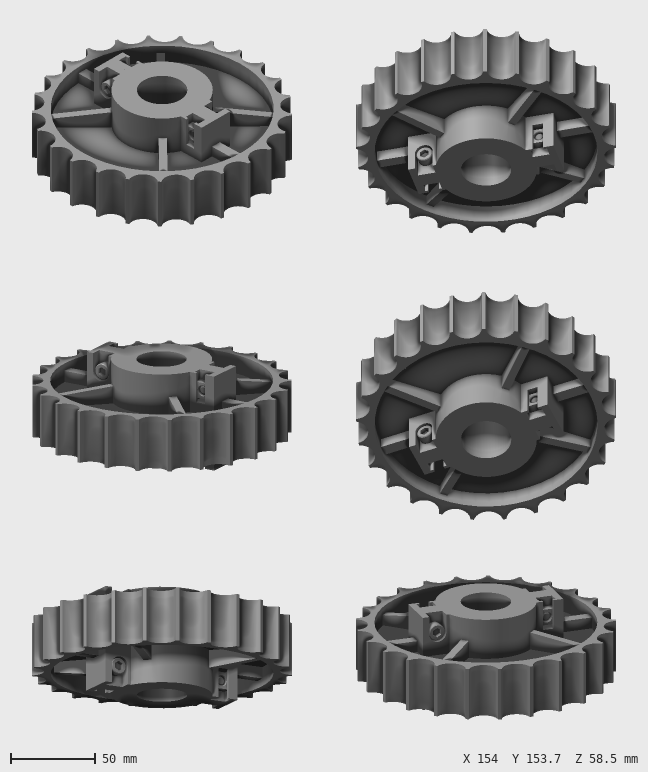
import cadquery as cq
import math


overall_width = 154.0
tooth_count = 25
tooth_pitch_angle = 360 / tooth_count
tip_half_angle = 0.8
widest_corner_angle = math.radians(tooth_pitch_angle / 4 - tip_half_angle)
tip_radius = overall_width / 2 / math.cos(widest_corner_angle)
roller_radius = 9.0
root_radius = 70.0
rim_inner_radius = 66.0
rim_height = 32.0

web_thickness = 9.0
rib_outer_height = 21.9
rib_hub_height = 30.5
diagonal_rib_width = 5.0
split_rib_width = 6.6
split_rib_height = 22.8
rib_embed = 1.5

hub_height = 58.5
hub_radius = 30.0
bore_radius = 15.0
lug_span = 89.0
lug_thickness = 24.2

screw_x = 35.0
screw_z = 18.2
shank_radius = 3.0
tip_face_radius = 2.0
head_radius = 5.0
head_length = 5.7
head_chamfer = 0.5
socket_flats = 5.1
socket_depth = 3.0
head_seat_y = 5.2
shank_end_y = 9.0

nut_width = 9.9
nut_thickness = 5.2
nut_inner_y = 4.6
nut_outer_y = nut_inner_y + nut_thickness
nut_countersink = 0.5

head_slot_width = 10.8
nut_slot_width = 10.3
nut_slot_depth = 5.7
nut_slot_floor_z = 11.2
nut_window_width = 6.5



def turned_about_z(shape, angle):
    return shape.rotate((0, 0, 0), (0, 0, 1), angle)


def at_each_fastener(upper_shape):
    """Copies of a shape made for the upper level at -X: both levels, and turned to +X."""
    both_levels = (upper_shape, upper_shape.mirror("XY"))
    return [turned_about_z(shape, angle) for shape in both_levels for angle in (0, 180)]


def y_cylinder(radius, y_start, y_end):
    """Cylinder along the axis of the upper screw at -X."""
    return (
        cq.Workplane("XZ", origin=(-screw_x, y_start, screw_z))
        .circle(radius)
        .extrude(y_start - y_end)
    )


def centred_disc(radius, height):
    return cq.Workplane("XY").circle(radius).extrude(height / 2, both=True)


def block(x_range, y_range, z_range):
    ranges = (x_range, y_range, z_range)
    size = [high - low for low, high in ranges]
    corner = tuple(low for low, high in ranges)
    return cq.Workplane("XY").box(*size, centered=False).translate(corner)


def slot_above(floor_z, width, y_start, y_end):
    """Slot at the -X screws, from the given floor up to the top of the hub."""
    x_range = (-screw_x - width / 2, -screw_x + width / 2)
    return block(x_range, (y_start, y_end), (floor_z, hub_height / 2))



def toothed_rim():
    gaps = (
        cq.Workplane("XY")
        .polarArray(root_radius + roller_radius, 90, 360, tooth_count)
        .circle(roller_radius)
        .extrude(rim_height / 2, both=True)
    )
    inside = centred_disc(rim_inner_radius, rim_height)
    return centred_disc(tip_radius, rim_height).cut(gaps).cut(inside)


def diagonal_ribs():
    """Four ribs that taper from the hub out to the rim, on both faces of the web."""
    upper_edge = [
        (hub_radius - rib_embed, rib_hub_height / 2),
        (hub_radius, rib_hub_height / 2),
        (rim_inner_radius, rib_outer_height / 2),
        (rim_inner_radius + rib_embed, rib_outer_height / 2),
    ]
    lower_edge = [(radius, -z) for radius, z in reversed(upper_edge)]
    rib = (
        cq.Workplane("XZ")
        .polyline(upper_edge + lower_edge)
        .close()
        .extrude(diagonal_rib_width / 2, both=True)
    )
    ribs = turned_about_z(rib, 45)
    for angle in (135, 225, 315):
        ribs = ribs.union(turned_about_z(rib, angle))
    return ribs


def split_ribs():
    """Level ribs along the split plane, from each lug to the rim."""
    length = 2 * (rim_inner_radius + rib_embed)
    return cq.Workplane("XY").box(length, split_rib_width, split_rib_height)


def hub_with_lugs():
    lugs = cq.Workplane("XY").box(lug_span, lug_thickness, hub_height)
    return centred_disc(hub_radius, hub_height).union(lugs)


def head_slot():
    """Round-bottomed slot for the upper screw head at -X, open to the top and to -Y."""
    round_floor = y_cylinder(head_slot_width / 2, -lug_thickness / 2, -head_seat_y)
    opening = slot_above(screw_z, head_slot_width, -lug_thickness / 2, -head_seat_y)
    return round_floor.union(opening)


def nut_slot():
    """T-shaped slot for the upper nut at -X, open to the top, with a narrower window to +Y."""
    pocket = slot_above(nut_slot_floor_z, nut_slot_width, nut_inner_y, nut_inner_y + nut_slot_depth)
    window = slot_above(nut_slot_floor_z, nut_window_width, nut_inner_y, lug_thickness / 2)
    return pocket.union(window)


def fastener_cutout():
    screw_hole = y_cylinder(shank_radius, -head_seat_y, nut_inner_y)
    return head_slot().union(nut_slot()).union(screw_hole)


def whole_sprocket():
    sprocket = (
        toothed_rim()
        .union(centred_disc(rim_inner_radius + rib_embed, web_thickness))
        .union(diagonal_ribs())
        .union(split_ribs())
        .union(hub_with_lugs())
        .cut(centred_disc(bore_radius, hub_height))
    )
    for cutout in at_each_fastener(fastener_cutout()):
        sprocket = sprocket.cut(cutout)
    return sprocket


def sprocket_half(sprocket, side):
    """The part of the sprocket on the +Y (side = 1) or -Y (side = -1) side of the split."""
    half_space = cq.Workplane("XY").box(2 * tip_radius, 2 * tip_radius, hub_height)
    return sprocket.intersect(half_space.translate((0, side * tip_radius, 0)))



def cap_screw():
    head_end_y = -head_seat_y - head_length
    socket_corner_diameter = socket_flats / math.cos(math.pi / 6)
    head = y_cylinder(head_radius, head_end_y, -head_seat_y).faces("<Y").chamfer(head_chamfer)
    shank = y_cylinder(shank_radius, -head_seat_y, shank_end_y)
    shank = shank.faces(">Y").chamfer(shank_radius - tip_face_radius)
    socket = (
        cq.Workplane("XZ", origin=(-screw_x, head_end_y, screw_z))
        .transformed(rotate=(0, 0, 90))
        .polygon(6, socket_corner_diameter)
        .extrude(-socket_depth)
    )
    return head.union(shank).cut(socket)


def square_nut():
    nut = block(
        (-screw_x - nut_width / 2, -screw_x + nut_width / 2),
        (nut_inner_y, nut_outer_y),
        (screw_z - nut_width / 2, screw_z + nut_width / 2),
    )
    nut = nut.cut(y_cylinder(shank_radius, nut_inner_y, nut_outer_y))
    return nut.faces(">Y").edges("%CIRCLE").chamfer(nut_countersink)


sprocket = whole_sprocket()
sprocket_halves = [sprocket_half(sprocket, side) for side in (1, -1)]
cap_screws = at_each_fastener(cap_screw())
square_nuts = at_each_fastener(square_nut())

bodies = sprocket_halves + cap_screws + square_nuts
result = cq.Compound.makeCompound([body.val() for body in bodies])